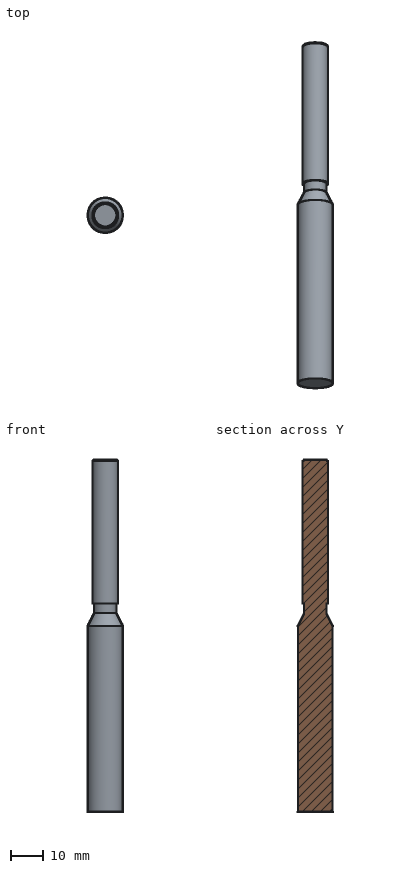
import cadquery as cq

total_length = 110.0

body_diameter = 11.0
neck_diameter = 7.0
shank_diameter = 8.0

body_length = 58.1
cone_length = 4.0
neck_length = 3.0

tip_chamfer = (shank_diameter - neck_diameter) / 2

cone_top = body_length + cone_length
neck_top = cone_top + neck_length
chamfer_base = total_length - tip_chamfer

body_radius = body_diameter / 2
neck_radius = neck_diameter / 2
shank_radius = shank_diameter / 2

half_profile = [
    (0, 0),
    (body_radius, 0),
    (body_radius, body_length),
    (neck_radius, cone_top),
    (neck_radius, neck_top),
    (shank_radius, neck_top),
    (shank_radius, chamfer_base),
    (shank_radius - tip_chamfer, total_length),
    (0, total_length),
]

result = (
    cq.Workplane("XZ")
    .polyline(half_profile)
    .close()
    .revolve(360, (0, 0, 0), (0, 1, 0))
)